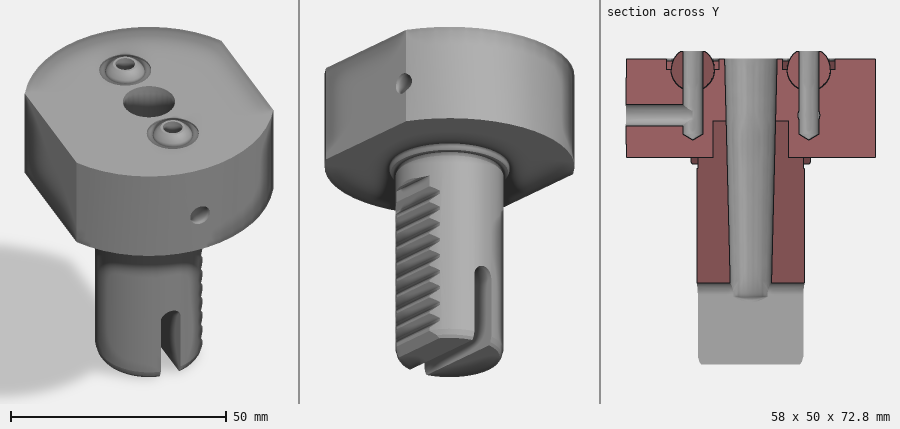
import cadquery as cq
import math


OVERALL_HEIGHT = 72.8

HEAD_DIAMETER = 58.0
HEAD_WIDTH = 50.0
HEAD_HEIGHT = 23.0

SHANK_LENGTH = 48.05
SHANK_RADIUS = 12.5
NECK_RADIUS = 12.3
NECK_LENGTH = 2.4
SPIGOT_RADIUS = 8.7
SPIGOT_HEIGHT = 8.45
LEAD_LENGTH = 2.0
LEAD_RADIUS = 12.15
TIP_CHAMFER_LENGTH = 0.65
TIP_RADIUS = 11.7

FLAT_Y = 10.9
FLAT_TOP_Z = -7.1
FLAT_EDGE_CHAMFER = 0.45
FLAT_END_BEVEL = 1.8
GROOVE_COUNT = 9
GROOVE_PITCH = 4.0
FIRST_GROOVE_Z = -11.6
GROOVE_DEPTH = 1.45
GROOVE_ROOT_WIDTH = 0.6

SLOT_WIDTH = 5.0
SLOT_LENGTH = 18.9

TAPER_MOUTH_RADIUS = 6.05
TAPER_RATIO = 1 / 20.0
TAPER_DEPTH = 55.3
DRILL_POINT_ANGLE = 118.0

SEAL_RADIUS = 14.0
SEAL_HEIGHT = 1.45
SEAL_BAND_HEIGHT = 0.5
SEAL_ROUND_RADIUS = 1.4

NOZZLE_X = 13.5
BALL_RADIUS = 5.0
BALL_CENTRE_DEPTH = 2.4
BALL_TOP_HEIGHT = OVERALL_HEIGHT - HEAD_HEIGHT - SHANK_LENGTH
RING_RADIUS = 6.05
RING_RECESS = 0.5
COOLANT_RADIUS = 2.25
COOLANT_DEPTH = 17.5

FEED_RADIUS = 2.5
FEED_DEPTH = 13.1

BALL_CENTRE_Z = HEAD_HEIGHT - BALL_CENTRE_DEPTH
FEED_Z = HEAD_HEIGHT - FEED_DEPTH
NOZZLE_POSITIONS = [-NOZZLE_X, NOZZLE_X]


def revolve_about_z(outline):
    """Turn an outline drawn in the XZ plane about the Z axis."""
    return outline.close().revolve(360, (0, 0, 0), (0, 1, 0))


def cylinder(radius, bottom_z, top_z, x=0.0):
    return cq.Workplane("XY", origin=(x, 0, bottom_z)).circle(radius).extrude(top_z - bottom_z)


def ball(x):
    return cq.Workplane("XY", origin=(x, 0, BALL_CENTRE_Z)).sphere(BALL_RADIUS)


def drill_point_length(radius):
    return radius / math.tan(math.radians(DRILL_POINT_ANGLE / 2))


def taper_bore():
    bottom_z = HEAD_HEIGHT - TAPER_DEPTH
    bottom_radius = TAPER_MOUTH_RADIUS - TAPER_DEPTH * TAPER_RATIO / 2
    return revolve_about_z(
        cq.Workplane("XZ")
        .moveTo(0, HEAD_HEIGHT)
        .lineTo(TAPER_MOUTH_RADIUS, HEAD_HEIGHT)
        .lineTo(bottom_radius, bottom_z)
        .lineTo(0, bottom_z - drill_point_length(bottom_radius))
    )


def coolant_hole(x):
    bottom_z = HEAD_HEIGHT - COOLANT_DEPTH
    hole = revolve_about_z(
        cq.Workplane("XZ")
        .moveTo(0, BALL_CENTRE_Z)
        .lineTo(COOLANT_RADIUS, BALL_CENTRE_Z)
        .lineTo(COOLANT_RADIUS, bottom_z)
        .lineTo(0, bottom_z - drill_point_length(COOLANT_RADIUS))
    )
    return hole.translate((x, 0, 0))


def feed_holes():
    """One hole from the +X side to the right nozzle, one from the +Y flat to the left nozzle."""
    from_x = (
        cq.Workplane("YZ", origin=(NOZZLE_X, 0, FEED_Z))
        .circle(FEED_RADIUS)
        .extrude(HEAD_DIAMETER)
    )
    from_y = (
        cq.Workplane("XZ", origin=(-NOZZLE_X, 0, FEED_Z))
        .circle(FEED_RADIUS)
        .extrude(-HEAD_WIDTH)
    )
    return from_x.union(from_y)


def make_head():
    flats = cq.Workplane("XY").rect(HEAD_DIAMETER, HEAD_WIDTH).extrude(HEAD_HEIGHT)
    head = cylinder(HEAD_DIAMETER / 2, 0, HEAD_HEIGHT).intersect(flats)
    head = head.cut(cylinder(SPIGOT_RADIUS, 0, SPIGOT_HEIGHT))
    head = head.cut(taper_bore()).cut(feed_holes())
    for x in NOZZLE_POSITIONS:
        head = head.cut(cylinder(RING_RADIUS, BALL_CENTRE_Z, HEAD_HEIGHT, x))
        head = head.cut(ball(x)).cut(coolant_hole(x))
    return head


def shank_blank():
    return revolve_about_z(
        cq.Workplane("XZ")
        .moveTo(0, SPIGOT_HEIGHT)
        .lineTo(SPIGOT_RADIUS, SPIGOT_HEIGHT)
        .lineTo(SPIGOT_RADIUS, 0)
        .lineTo(NECK_RADIUS, 0)
        .lineTo(NECK_RADIUS, -NECK_LENGTH)
        .lineTo(SHANK_RADIUS, -NECK_LENGTH)
        .lineTo(SHANK_RADIUS, LEAD_LENGTH - SHANK_LENGTH)
        .lineTo(LEAD_RADIUS, TIP_CHAMFER_LENGTH - SHANK_LENGTH)
        .lineTo(TIP_RADIUS, -SHANK_LENGTH)
        .lineTo(0, -SHANK_LENGTH)
    )


def extrude_across_shank(outline):
    """Extrude a closed YZ outline along X through the whole shank."""
    return outline.close().extrude(SHANK_RADIUS, both=True)


def flat_cut():
    outside_y = 2 * SHANK_RADIUS
    chamfer_rise = outside_y - SHANK_RADIUS + FLAT_EDGE_CHAMFER
    return extrude_across_shank(
        cq.Workplane("YZ")
        .moveTo(FLAT_Y - FLAT_END_BEVEL, -SHANK_LENGTH)
        .lineTo(FLAT_Y, FLAT_END_BEVEL - SHANK_LENGTH)
        .lineTo(FLAT_Y, FLAT_TOP_Z)
        .lineTo(SHANK_RADIUS - FLAT_EDGE_CHAMFER, FLAT_TOP_Z)
        .lineTo(outside_y, FLAT_TOP_Z + chamfer_rise)
        .lineTo(outside_y, -SHANK_LENGTH)
    )


def groove_cut(centre_z):
    """A groove with 45 degree sides, cut down from the flat."""
    root_half = GROOVE_ROOT_WIDTH / 2
    mouth_half = root_half + GROOVE_DEPTH
    root_y = FLAT_Y - GROOVE_DEPTH
    return extrude_across_shank(
        cq.Workplane("YZ")
        .moveTo(FLAT_Y, centre_z - mouth_half)
        .lineTo(root_y, centre_z - root_half)
        .lineTo(root_y, centre_z + root_half)
        .lineTo(FLAT_Y, centre_z + mouth_half)
    )


def slot_cut():
    half_width = SLOT_WIDTH / 2
    top_z = SLOT_LENGTH - SHANK_LENGTH
    return extrude_across_shank(
        cq.Workplane("YZ")
        .moveTo(-half_width, -SHANK_LENGTH)
        .lineTo(-half_width, top_z - half_width)
        .threePointArc((0, top_z), (half_width, top_z - half_width))
        .lineTo(half_width, -SHANK_LENGTH)
    )


def make_shank():
    shank = shank_blank().cut(taper_bore()).cut(flat_cut()).cut(slot_cut())
    for i in range(GROOVE_COUNT):
        shank = shank.cut(groove_cut(FIRST_GROOVE_Z - i * GROOVE_PITCH))
    return shank


def make_seal():
    """A ring whose lower outer edge is an arc tangent to its cylindrical band."""
    arc_centre_r = SEAL_RADIUS - SEAL_ROUND_RADIUS
    end_angle = math.asin((SEAL_HEIGHT - SEAL_BAND_HEIGHT) / SEAL_ROUND_RADIUS)

    def arc_point(angle):
        return (
            arc_centre_r + SEAL_ROUND_RADIUS * math.cos(angle),
            -SEAL_BAND_HEIGHT - SEAL_ROUND_RADIUS * math.sin(angle),
        )

    return revolve_about_z(
        cq.Workplane("XZ")
        .moveTo(NECK_RADIUS, 0)
        .lineTo(SEAL_RADIUS, 0)
        .lineTo(SEAL_RADIUS, -SEAL_BAND_HEIGHT)
        .threePointArc(arc_point(end_angle / 2), arc_point(end_angle))
        .lineTo(NECK_RADIUS, -SEAL_HEIGHT)
    )


def make_nozzle_ball(x):
    top_z = HEAD_HEIGHT + BALL_TOP_HEIGHT
    below_top = cylinder(BALL_RADIUS, BALL_CENTRE_Z - BALL_RADIUS, top_z, x)
    bore = cylinder(COOLANT_RADIUS, BALL_CENTRE_Z - BALL_RADIUS, top_z, x)
    return ball(x).intersect(below_top).cut(bore)


def make_nozzle_ring(x):
    return cylinder(RING_RADIUS, BALL_CENTRE_Z, HEAD_HEIGHT - RING_RECESS, x).cut(ball(x))


head = make_head()
shank = make_shank()
seal = make_seal()
nozzle_balls = [make_nozzle_ball(x).val() for x in NOZZLE_POSITIONS]
nozzle_rings = [make_nozzle_ring(x).val() for x in NOZZLE_POSITIONS]

result = cq.Compound.makeCompound(
    [head.val(), shank.val(), seal.val(), *nozzle_balls, *nozzle_rings]
)